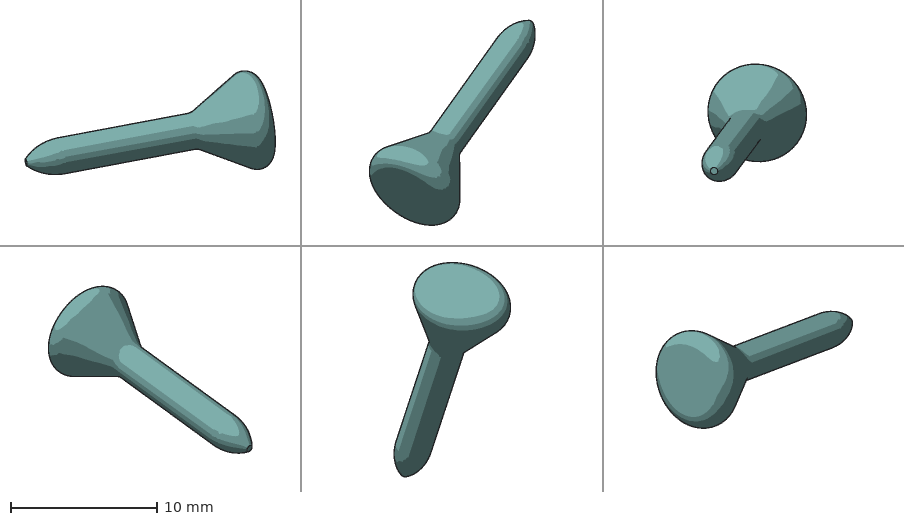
import cadquery as cq
import math

total_length = 17.0
head_radius = 3.42
head_rounding = 1.0
cone_half_angle = math.radians(30)
neck_fillet = 1.0
shank_radius = 1.25
tip_length = 2.5
tip_flat_radius = 0.25

rounding_center_x = head_radius - head_rounding
rounding_center_y = total_length - head_rounding
cone_top_x = rounding_center_x + head_rounding * math.cos(cone_half_angle)
cone_top_y = rounding_center_y - head_rounding * math.sin(cone_half_angle)

neck_corner_y = cone_top_y - (cone_top_x - shank_radius) / math.tan(cone_half_angle)
fillet_tangent_length = neck_fillet * math.tan(cone_half_angle / 2)
fillet_start_y = neck_corner_y - fillet_tangent_length
fillet_end_x = shank_radius + fillet_tangent_length * math.sin(cone_half_angle)
fillet_end_y = neck_corner_y + fillet_tangent_length * math.cos(cone_half_angle)

half_outline = (
    cq.Workplane("XY")
    .moveTo(0, 0)
    .lineTo(0, total_length)
    .lineTo(rounding_center_x, total_length)
    .threePointArc((head_radius, rounding_center_y), (cone_top_x, cone_top_y))
    .lineTo(fillet_end_x, fillet_end_y)
    .tangentArcPoint((shank_radius, fillet_start_y), relative=False)
    .lineTo(shank_radius, tip_length)
    .tangentArcPoint((tip_flat_radius, 0), relative=False)
    .close()
)

result = half_outline.revolve(360, (0, 0, 0), (0, 1, 0))